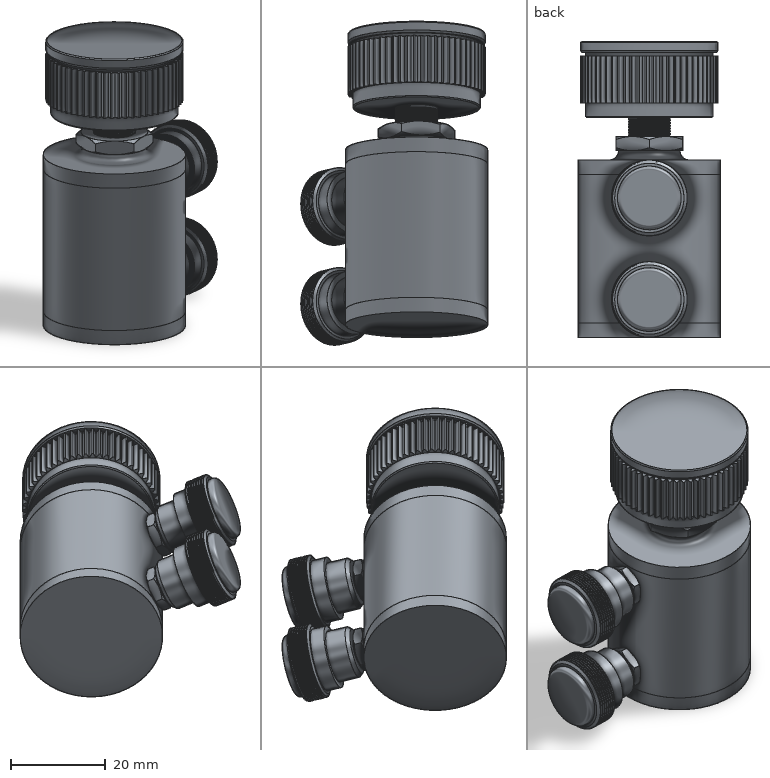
import cadquery as cq
import math

body_diameter = 30.0
body_height = 37.45
cap_thickness = 3.1
boss_diameter = 13.0
boss_fillet = 1.95

hex_chamfer_angle = 30
hex_turn = 30

nut_flats = 14.1
nut_height = 3.0
bushing_diameter = 8.85

total_height = 62.4
knob_diameter = 28.95
knob_core_diameter = 26.9
knob_bottom = 46.4
grip_bottom = 49.45
grip_top = 59.35
dial_bottom = 60.05
knob_edge_chamfer = 0.25
dial_lower_chamfer_height = 0.45
tooth_count = 60
tooth_tip_width = 0.3

connector_spacing = 21.4
total_depth = 47.0
connector_hex_flats = 8.05
connector_hex_start = 14.8
connector_hex_end = 16.9
stem_diameter = 5.6
collar_start = 17.35
collar_diameter = 11.0
collar_chamfer_length = 0.8
collar_chamfer_depth = 0.7
sleeve_start = 22.5
sleeve_diameter = 13.4
sleeve_end_fillet = 0.9
ring_start = 25.45
ring_length = 5.0
ring_diameter = 16.0
ring_chamfer_length = 0.45
ring_chamfer_depth = 0.7

groove_pitch = 0.58
groove_width = 0.45
groove_root_width = 0.1
groove_depth = 0.25
groove_overhang = 0.05
groove_start_angle = 33

body_radius = body_diameter / 2
boss_radius = boss_diameter / 2
bushing_radius = bushing_diameter / 2
knob_radius = knob_diameter / 2
knob_core_radius = knob_core_diameter / 2
stem_radius = stem_diameter / 2
collar_radius = collar_diameter / 2
sleeve_radius = sleeve_diameter / 2
ring_radius = ring_diameter / 2
connector_reach = total_depth - body_radius
ring_end = ring_start + ring_length
cap_bottom = body_height - cap_thickness
nut_bottom = body_height + boss_fillet
nut_top = nut_bottom + nut_height
connector_heights = [body_height / 2 + side * connector_spacing / 2 for side in (-1, 1)]


def disc(radius, bottom, top):
    """Cylinder on the Z axis between two heights."""
    return cq.Workplane("XY").workplane(offset=bottom).circle(radius).extrude(top - bottom)


def helical_groove(radius, bottom, top):
    """Cutter with sloped walls and a flat root, winding up the Z axis from bottom to top."""
    wall_slope = (groove_width - groove_root_width) / 2 / groove_depth
    outer_half_width = groove_width / 2 + groove_overhang * wall_slope
    helix = cq.Wire.makeHelix(groove_pitch, top - bottom, radius)
    cutter = (
        cq.Workplane("XZ")
        .moveTo(radius - groove_depth, -groove_root_width / 2)
        .lineTo(radius + groove_overhang, -outer_half_width)
        .lineTo(radius + groove_overhang, outer_half_width)
        .lineTo(radius - groove_depth, groove_root_width / 2)
        .close()
        .sweep(cq.Workplane(helix), isFrenet=True)
    )
    cutter = cutter.rotate((0, 0, 0), (0, 0, 1), groove_start_angle)
    return cutter.translate((0, 0, bottom))


def hex_prism(flats, height):
    """Hexagon from Z = 0 with flats at +X and -X and both ends chamfered."""
    corner_radius = flats / math.sqrt(3)
    chamfer_height = (corner_radius - flats / 2) * math.tan(math.radians(hex_chamfer_angle))
    prism = (
        cq.Workplane("XY")
        .polygon(6, 2 * corner_radius)
        .extrude(height)
        .rotate((0, 0, 0), (0, 0, 1), hex_turn)
    )
    envelope = (
        cq.Workplane("XZ")
        .moveTo(0, 0)
        .lineTo(flats / 2, 0)
        .lineTo(corner_radius, chamfer_height)
        .lineTo(corner_radius, height - chamfer_height)
        .lineTo(flats / 2, height)
        .lineTo(0, height)
        .close()
        .revolve(360, (0, 0, 0), (0, 1, 0))
    )
    return prism.intersect(envelope)


def place_connector(shape, height):
    """Turn a shape built along +Z to point along +Y, at the given height."""
    return shape.rotate((0, 0, 0), (1, 0, 0), -90).translate((0, 0, height))


def make_connector_base():
    """Chamfered hexagon with a thin stem that reaches the coupling."""
    hex_length = connector_hex_end - connector_hex_start
    hexagon = hex_prism(connector_hex_flats, hex_length)
    hexagon = hexagon.translate((0, 0, connector_hex_start))
    return hexagon.union(disc(stem_radius, connector_hex_end, collar_start))


def make_coupling():
    """Stepped coupling sleeve with a helically grooved grip ring."""
    coupling = (
        cq.Workplane("XZ")
        .moveTo(0, collar_start)
        .lineTo(collar_radius - collar_chamfer_depth, collar_start)
        .lineTo(collar_radius, collar_start + collar_chamfer_length)
        .lineTo(collar_radius, sleeve_start)
        .lineTo(sleeve_radius, sleeve_start)
        .lineTo(sleeve_radius, ring_start)
        .lineTo(ring_radius - ring_chamfer_depth, ring_start)
        .lineTo(ring_radius, ring_start + ring_chamfer_length)
        .lineTo(ring_radius, ring_end - ring_chamfer_length)
        .lineTo(ring_radius - ring_chamfer_depth, ring_end)
        .lineTo(sleeve_radius, ring_end)
        .lineTo(sleeve_radius, connector_reach - sleeve_end_fillet)
        .radiusArc((sleeve_radius - sleeve_end_fillet, connector_reach), -sleeve_end_fillet)
        .lineTo(0, connector_reach)
        .close()
        .revolve(360, (0, 0, 0), (0, 1, 0))
    )
    groove_bottom = ring_start + ring_chamfer_length
    groove_top = ring_end - ring_chamfer_length
    return coupling.cut(helical_groove(ring_radius, groove_bottom, groove_top))


def make_housing():
    """Solid middle cylinder, recessed where the connector hexagons sit."""
    housing = disc(body_radius, cap_thickness, cap_bottom)
    for height in connector_heights:
        housing = housing.cut(place_connector(make_connector_base(), height))
    return housing


def make_top_cap():
    """Disc with a central boss blended into its top face."""
    boss = (
        cq.Workplane("XZ")
        .moveTo(0, body_height)
        .lineTo(boss_radius + boss_fillet, body_height)
        .radiusArc((boss_radius, nut_bottom), boss_fillet)
        .lineTo(0, nut_bottom)
        .close()
        .revolve(360, (0, 0, 0), (0, 1, 0))
    )
    return disc(body_radius, cap_bottom, body_height).union(boss)


def make_bushing():
    """Threaded post between the top cap and the knob."""
    post = disc(bushing_radius, nut_bottom, knob_bottom)
    groove_bottom = nut_top - groove_pitch
    groove_top = knob_bottom - groove_width / 2
    return post.cut(helical_groove(bushing_radius, groove_bottom, groove_top))


def make_nut():
    """Chamfered hexagon nut bored to fit the bushing."""
    nut = hex_prism(nut_flats, nut_height).translate((0, 0, nut_bottom))
    return nut.cut(disc(bushing_radius, nut_bottom, nut_top))


def make_grip():
    """Ring of straight tapered teeth around the knob, with a groove centred on +X."""
    tooth_angle = 2 * math.pi / tooth_count
    half_tip_angle = tooth_tip_width / 2 / knob_radius
    outline = []
    for tooth in range(tooth_count):
        middle = (tooth + 0.5) * tooth_angle
        for radius, angle in (
            (knob_radius, middle - half_tip_angle),
            (knob_radius, middle + half_tip_angle),
            (knob_core_radius, middle + tooth_angle / 2),
        ):
            outline.append((radius * math.cos(angle), radius * math.sin(angle)))
    base = cq.Workplane("XY").workplane(offset=grip_bottom)
    return base.polyline(outline).close().extrude(grip_top - grip_bottom)


def make_knob():
    """Core drum, toothed grip and dial disc."""
    core = disc(knob_core_radius, knob_bottom, dial_bottom).faces("<Z").chamfer(knob_edge_chamfer)
    dial = (
        disc(knob_radius, dial_bottom, total_height)
        .faces("<Z").chamfer(dial_lower_chamfer_height, knob_edge_chamfer)
        .faces(">Z").chamfer(knob_edge_chamfer)
    )
    return core.union(make_grip()).union(dial)


bottom_cap = disc(body_radius, 0, cap_thickness)
housing = make_housing()
top_cap = make_top_cap()
nut = make_nut()
bushing = make_bushing()
knob = make_knob()
connector_bases = [place_connector(make_connector_base(), height) for height in connector_heights]
couplings = [place_connector(make_coupling(), height) for height in connector_heights]

bodies = [bottom_cap, housing, top_cap, nut, bushing, knob, *connector_bases, *couplings]
result = cq.Compound.makeCompound([body.val() for body in bodies])